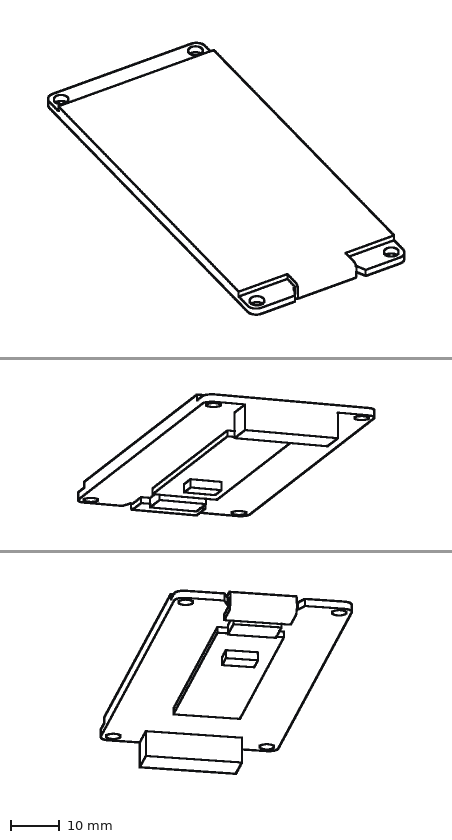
import cadquery as cq

board_length = 83.5
board_width = 37.0
board_thickness = 1.6
corner_radius = 2.0
hole_diameter = 3.0
hole_inset = 2.5

panel_margin = 5.6
panel_thickness = 1.25
panel_end = board_length - panel_margin

flex_width = 13.9
flex_thickness = panel_thickness
flex_end = 82.25
flex_bend_radius = 1.1
notch_floor = 81.2
notch_floor_width = 14.7
notch_mouth_width = 16.8

connector_length = 6.7
connector_width = 20.05
connector_height = 5.4
plate_start = 20.5
plate_end = 68.3
plate_thickness = 1.25
plate_width = flex_width
small_chip_start = 54.7
small_chip_length = 4.1
small_chip_height = 1.75
large_chip_start = 69.6
large_chip_length = 6.1
large_chip_height = 2.0
small_chip_width = 6.7
large_chip_width = 10.0
flex_start = large_chip_start + large_chip_length


def block(x_start, length, width, z_bottom, height):
    """Box centred on Y, placed by its low X end and its underside."""
    return (
        cq.Workplane("XY")
        .box(length, width, height, centered=(False, True, False))
        .translate((x_start, 0, z_bottom))
    )


def make_board():
    board = block(0, board_length, board_width, 0, board_thickness)
    board = board.edges("|Z").fillet(corner_radius)
    holes = (
        cq.Workplane("XY")
        .center(board_length / 2, 0)
        .rect(board_length - 2 * hole_inset, board_width - 2 * hole_inset, forConstruction=True)
        .vertices()
        .circle(hole_diameter / 2)
        .extrude(board_thickness)
    )
    notch = (
        cq.Workplane("XY")
        .polyline([
            (notch_floor, -notch_floor_width / 2),
            (board_length, -notch_mouth_width / 2),
            (board_length, notch_mouth_width / 2),
            (notch_floor, notch_floor_width / 2),
        ])
        .close()
        .extrude(board_thickness)
    )
    return board.cut(holes).cut(notch)


def make_panel():
    return block(panel_margin, panel_end - panel_margin, board_width, board_thickness, panel_thickness)


def make_flex():
    """Cable running from the panel, around the board end and back below it."""
    height = board_thickness + 2 * flex_thickness
    wrap = block(panel_end, flex_end - panel_end, flex_width, -flex_thickness, height)
    wrap = wrap.edges("|Y and >X").fillet(flex_bend_radius)
    tail = block(flex_start, panel_end - flex_start, flex_width, -flex_thickness, flex_thickness)
    return wrap.union(tail)


def make_connector():
    return block(0, connector_length, connector_width, -connector_height, connector_height)


def make_back_plate():
    plate = block(plate_start, plate_end - plate_start, plate_width, -plate_thickness, plate_thickness)
    chip_bottom = -plate_thickness - small_chip_height
    chip = block(small_chip_start, small_chip_length, small_chip_width, chip_bottom, small_chip_height)
    return plate.union(chip)


def make_large_chip():
    return block(large_chip_start, large_chip_length, large_chip_width, -large_chip_height, large_chip_height)


result = (
    make_board()
    .union(make_panel())
    .union(make_flex())
    .union(make_connector())
    .union(make_back_plate())
    .union(make_large_chip())
    .clean()
)